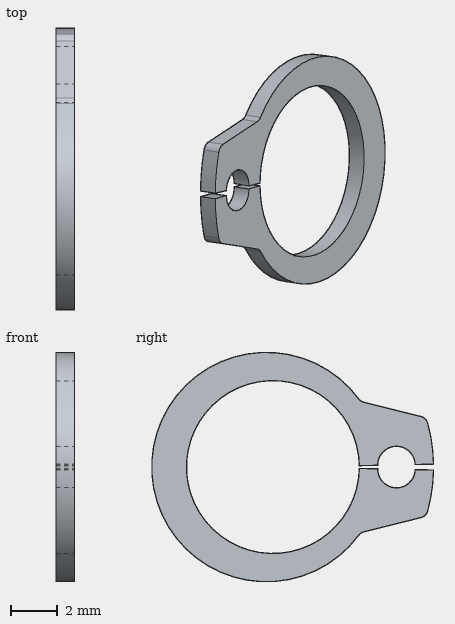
import cadquery as cq
import math

thickness = 0.8
length = 12.1
outer_radius = 4.92
bore_radius = 3.7
bore_offset = 0.28

tip_radius = length - outer_radius
lug_root_half_width = 2.82
lug_taper_angle = 14.0
lug_corner_radius = 0.42
lug_root_fillet_radius = 0.42
lug_root_y = math.sqrt(outer_radius**2 - lug_root_half_width**2)

gap_tip_half_width = 0.12
gap_bore_half_width = 0.055

plier_hole_radius = 0.8
plier_hole_y = 5.58

bore_edge_y = bore_offset + bore_radius
gap_slope = (gap_tip_half_width - gap_bore_half_width) / (tip_radius - bore_edge_y)


def gap_half_width(y):
    return gap_bore_half_width + gap_slope * (y - bore_edge_y)


def disc(radius, y=0.0, z=0.0):
    return cq.Workplane("YZ").center(y, z).circle(radius).extrude(thickness / 2, both=True)


def make_lugs():
    """Tapered plate for both lugs, ended by the tip arc."""
    past_tip_y = tip_radius + lug_corner_radius
    taper = math.tan(math.radians(lug_taper_angle))
    end_half_width = lug_root_half_width - taper * (past_tip_y - lug_root_y)
    plate = (
        cq.Workplane("YZ")
        .moveTo(0, 0)
        .lineTo(lug_root_y, lug_root_half_width)
        .lineTo(past_tip_y, end_half_width)
        .lineTo(past_tip_y, -end_half_width)
        .lineTo(lug_root_y, -lug_root_half_width)
        .close()
        .extrude(thickness / 2, both=True)
    )
    lugs = plate.intersect(disc(tip_radius))
    tip_corners = cq.selectors.BoxSelector(
        (-thickness, lug_root_y + lug_corner_radius, -outer_radius),
        (thickness, past_tip_y, outer_radius),
    )
    return lugs.edges("|X").edges(tip_corners).fillet(lug_corner_radius)


def make_gap():
    """Wedge-shaped slot from the bore out through the lug tips."""
    inner_y = bore_offset
    outer_y = tip_radius + lug_corner_radius
    inner_half_width = gap_half_width(inner_y)
    outer_half_width = gap_half_width(outer_y)
    return (
        cq.Workplane("YZ")
        .moveTo(inner_y, inner_half_width)
        .lineTo(outer_y, outer_half_width)
        .lineTo(outer_y, -outer_half_width)
        .lineTo(inner_y, -inner_half_width)
        .close()
        .extrude(thickness / 2, both=True)
    )


def make_body():
    """Ring blank joined to the lugs, with the two inner corners at their roots rounded."""
    body = disc(outer_radius).union(make_lugs())
    root_corners = cq.selectors.BoxSelector(
        (-thickness, lug_root_y - lug_root_fillet_radius, -outer_radius),
        (thickness, lug_root_y + lug_root_fillet_radius, outer_radius),
    )
    return body.edges("|X").edges(root_corners).fillet(lug_root_fillet_radius)


result = make_body()
result = result.cut(disc(bore_radius, bore_offset)).cut(make_gap())
for side in (1, -1):
    hole_z = side * gap_half_width(plier_hole_y)
    result = result.cut(disc(plier_hole_radius, plier_hole_y, hole_z))